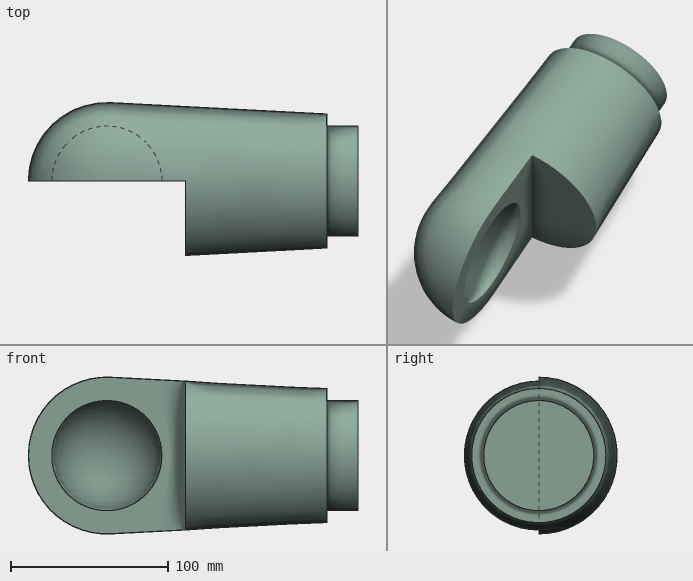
import cadquery as cq
import math

overall_length = 210.0
ball_radius = 50.0
taper_angle = math.radians(3)
spigot_radius = 35.0
spigot_length = 20.0
socket_radius = 35.0
step_x = 50.0

spigot_end_x = overall_length - ball_radius
body_end_x = spigot_end_x - spigot_length

tangent_x = ball_radius * math.sin(taper_angle)
tangent_radius = ball_radius * math.cos(taper_angle)
body_end_radius = tangent_radius - (body_end_x - tangent_x) * math.tan(taper_angle)


def revolved_body():
    """Ball nose, tapered body and end spigot turned about the X axis."""
    arc_middle = (-ball_radius * math.sin(math.pi / 4), ball_radius * math.cos(math.pi / 4))
    return (
        cq.Workplane("XY")
        .moveTo(-ball_radius, 0)
        .threePointArc(arc_middle, (tangent_x, tangent_radius))
        .lineTo(body_end_x, body_end_radius)
        .lineTo(body_end_x, spigot_radius)
        .lineTo(spigot_end_x, spigot_radius)
        .lineTo(spigot_end_x, 0)
        .close()
        .revolve(360, (0, 0, 0), (1, 0, 0))
    )


def front_cutaway():
    """Block that removes the -Y half of the nose up to the step face."""
    margin = 2.0
    length = step_x + ball_radius + margin
    depth = ball_radius + margin
    return (
        cq.Workplane("XY")
        .box(length, depth, 2 * depth, centered=(False, False, True))
        .translate((step_x - length, -depth, 0))
    )


socket = cq.Workplane("XY").sphere(socket_radius)

result = revolved_body().cut(front_cutaway()).cut(socket)